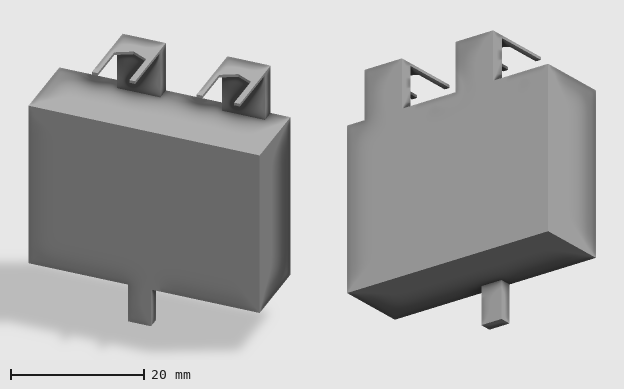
import cadquery as cq

body_width = 37.5
body_depth = 12.0
body_height = 27.6

post_width = 7.02
post_depth = 2.2
post_left_edges = (10.3, 27.3)
tab_length = 6.45
overall_height = 42.3
post_height = overall_height - body_height - tab_length
plate_thickness = 0.45

slot_width = 5.15
slot_depth = 7.85
slot_straight_depth = 6.55

tab_left = 16.1
tab_width = 3.75
tab_depth = 2.05


def block(width, depth, height, x=0, y=0, z=0):
    """Box with its lowest corner at (x, y, z)."""
    return cq.Workplane("XY").box(width, depth, height, centered=False).translate((x, y, z))


def forked_post(left):
    """Post with a forked plate along its top edge."""
    plate_bottom = body_height + post_height - plate_thickness
    post = block(post_width, post_depth, post_height, left, body_depth - post_depth, body_height)
    plate = block(post_width, body_depth, plate_thickness, left, 0, plate_bottom)
    slot_center = left + post_width / 2
    slot_left = slot_center - slot_width / 2
    slot_right = slot_center + slot_width / 2
    slot = (
        cq.Workplane("XY", origin=(0, 0, plate_bottom))
        .moveTo(slot_left, 0)
        .lineTo(slot_left, slot_straight_depth)
        .lineTo(slot_center, slot_depth)
        .lineTo(slot_right, slot_straight_depth)
        .lineTo(slot_right, 0)
        .close()
        .extrude(plate_thickness)
    )
    return post.union(plate.cut(slot))


result = block(body_width, body_depth, body_height)
for left_edge in post_left_edges:
    result = result.union(forked_post(left_edge))
result = result.union(block(tab_width, tab_depth, tab_length, tab_left, 0, -tab_length))